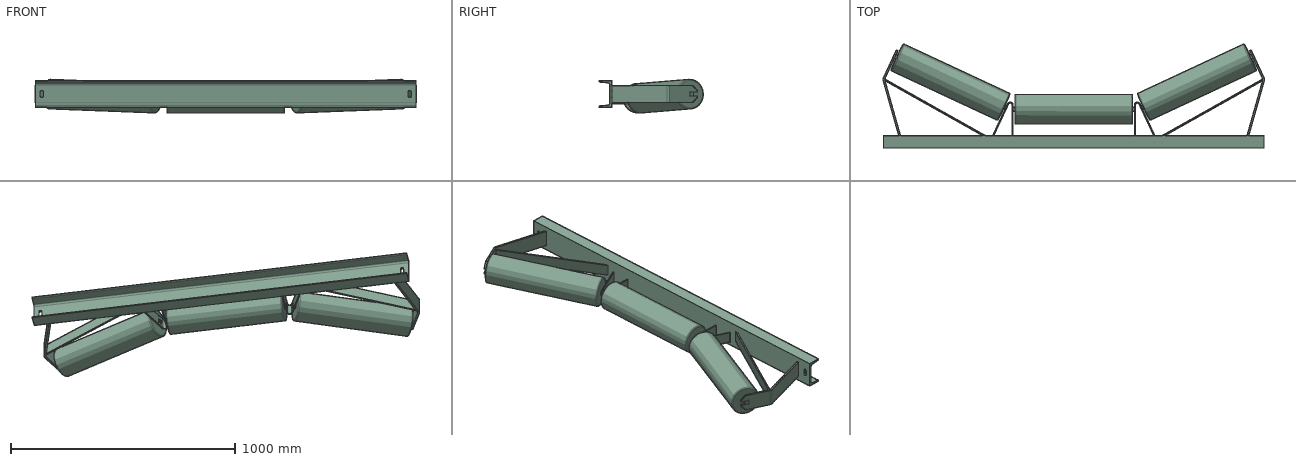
import cadquery as cq
import math

OVERALL_LENGTH = 1702

BEAM_LENGTH = 1699.0
BEAM_HEIGHT = 120.0
BEAM_DEPTH = 56.0
WEB_THICKNESS = 9.4
FLANGE_TIP = 7.0
FLANGE_ROOT = 11.0
ROOT_RADIUS = 9.0
TIP_RADIUS = 4.3
MOUNT_SLOT_LENGTH = 32.0
MOUNT_SLOT_WIDTH = 14.0
MOUNT_SLOT_INSET = 29.0

ROLLER_RADIUS = 66.0
ROLLER_LENGTH = 526.0
RIM_RADIUS = 5.0
ROLLER_Y = 117.0
ROLLER_Z = -19.0
TROUGH_ANGLE = 25
TILT_ANGLE = 2
WING_INNER_X = -311.0
WING_INNER_Y = 128.0
SHAFT_WIDTH = 17.0
SHAFT_DEPTH = 19.0

OUTER_HEIGHT = 75.0
OUTER_THICKNESS = 9.0
OUTER_BEND_RADIUS = 17.0
OUTER_BEND_Y = 250.0
OUTER_LEG_ANGLE = 15.8
OUTER_ARM_LENGTH = 138.0
TIP_CHAMFER = 22.0
INNER_HEIGHT = 51.0
INNER_THICKNESS = 5.0
INNER_BEND_RADIUS = 14.0
INNER_GAP = 7.0
INNER_TOP_Y = 150.0

BRACE_THICKNESS = 7.0
BRACE_HEIGHT = 51.0
BRACE_FOOT_X = -400.0

RUNOUT = 340


def polar(centre, radius, degrees):
    """Point at a distance and direction from `centre`."""
    angle = math.radians(degrees)
    return (centre[0] + radius * math.cos(angle), centre[1] + radius * math.sin(angle))


def distance_along(start, end, degrees):
    """Distance from `start` to `end`, measured in the given direction."""
    angle = math.radians(degrees)
    return (end[0] - start[0]) * math.cos(angle) + (end[1] - start[1]) * math.sin(angle)


WING_DIRECTION = 180 - TROUGH_ANGLE
OUTER_LEG_NORMAL = 180 + OUTER_LEG_ANGLE
INNER_FACE_X = -ROLLER_LENGTH / 2 - INNER_GAP
OUTER_BEND = (-OVERALL_LENGTH / 2 + OUTER_BEND_RADIUS, OUTER_BEND_Y)
INNER_BEND = (INNER_FACE_X - INNER_BEND_RADIUS, INNER_TOP_Y - INNER_BEND_RADIUS)

wing_inner = (WING_INNER_X, WING_INNER_Y)
tilt = math.radians(TILT_ANGLE)
middle_shaft = INNER_GAP + INNER_THICKNESS
inner_reach = distance_along(INNER_BEND, wing_inner, WING_DIRECTION)
wing_inner_shaft = (inner_reach - INNER_BEND_RADIUS + INNER_THICKNESS) / math.cos(tilt)
outer_reach = distance_along(wing_inner, OUTER_BEND, WING_DIRECTION) + OUTER_BEND_RADIUS
wing_outer_shaft = outer_reach / math.cos(tilt) - ROLLER_LENGTH

middle_plane = cq.Plane(
    origin=(-ROLLER_LENGTH / 2, ROLLER_Y, ROLLER_Z), xDir=(0, 1, 0), normal=(1, 0, 0)
)
wing_x, wing_y = polar((0, 0), math.cos(tilt), WING_DIRECTION)
across_x, across_y = polar((0, 0), 1, WING_DIRECTION - 90)
wing_plane = cq.Plane(
    origin=(WING_INNER_X, WING_INNER_Y, ROLLER_Z),
    xDir=(across_x, across_y, 0),
    normal=(wing_x, wing_y, math.sin(tilt)),
)


def trim_at_beam(body):
    """Cut away everything in front of the back face of the beam."""
    front = cq.Workplane("XZ").rect(2 * OVERALL_LENGTH, OVERALL_LENGTH).extrude(2 * RUNOUT)
    return body.cut(front)


def make_beam():
    half = BEAM_HEIGHT / 2
    root = half - FLANGE_ROOT
    tip = half - FLANGE_TIP
    profile = [
        (0, -half),
        (-BEAM_DEPTH, -half),
        (-BEAM_DEPTH, -tip),
        (-WEB_THICKNESS, -root),
        (-WEB_THICKNESS, root),
        (-BEAM_DEPTH, tip),
        (-BEAM_DEPTH, half),
        (0, half),
    ]
    beam = cq.Workplane("YZ").polyline(profile).close().extrude(BEAM_LENGTH / 2, both=True)
    for y, z, radius in ((-WEB_THICKNESS, root, ROOT_RADIUS), (-BEAM_DEPTH, tip, TIP_RADIUS)):
        for side in (-1, 1):
            corner = cq.selectors.NearestToPointSelector((0, y, side * z))
            beam = beam.edges("|X").edges(corner).fillet(radius)
    slot_x = BEAM_LENGTH / 2 - MOUNT_SLOT_INSET
    slots = (
        cq.Workplane("XZ")
        .pushPoints([(-slot_x, 0), (slot_x, 0)])
        .slot2D(MOUNT_SLOT_LENGTH, MOUNT_SLOT_WIDTH, 90)
        .extrude(WEB_THICKNESS)
    )
    return beam.cut(slots)


def make_roller(plane, start_shaft, end_shaft):
    """Roller with rounded rims, and flatted shaft ends of the given lengths beyond both faces."""
    drum = cq.Workplane(plane).circle(ROLLER_RADIUS).extrude(ROLLER_LENGTH)
    drum = drum.faces("<X or >X").edges().fillet(RIM_RADIUS)
    shaft = (
        cq.Workplane(plane)
        .workplane(offset=-start_shaft)
        .rect(SHAFT_DEPTH, SHAFT_WIDTH)
        .extrude(start_shaft + ROLLER_LENGTH + end_shaft)
    )
    return drum.union(shaft)


def make_bent_bar(centre, radius, thickness, height, normals, legs):
    """Flat bar on edge, bent round `centre`.

    `radius` is the outer bend radius, `normals` the directions in which the two
    straight legs face outward, and `legs` their lengths.
    """
    inner = radius - thickness
    start, end = normals
    start_leg, end_leg = legs
    middle = (start + end) / 2
    start_outer = polar(centre, radius, start)
    start_inner = polar(centre, inner, start)
    end_outer = polar(centre, radius, end)
    end_inner = polar(centre, inner, end)
    return (
        cq.Workplane("XY")
        .moveTo(*polar(start_outer, start_leg, start - 90))
        .lineTo(*start_outer)
        .threePointArc(polar(centre, radius, middle), end_outer)
        .lineTo(*polar(end_outer, end_leg, end + 90))
        .lineTo(*polar(end_inner, end_leg, end + 90))
        .lineTo(*end_inner)
        .threePointArc(polar(centre, inner, middle), start_inner)
        .lineTo(*polar(start_inner, start_leg, start - 90))
        .close()
        .extrude(height / 2, both=True)
    )


def make_outer_bracket():
    """Outer bracket with a chamfered tip and an open notch for the shaft end."""
    bar = make_bent_bar(
        OUTER_BEND, OUTER_BEND_RADIUS, OUTER_THICKNESS, OUTER_HEIGHT,
        (WING_DIRECTION, OUTER_LEG_NORMAL), (OUTER_ARM_LENGTH, RUNOUT),
    )
    tip_end = cq.selectors.DirectionMinMaxSelector(cq.Vector(across_x, across_y, 0))
    bar = bar.faces(tip_end).edges("<Z or >Z").chamfer(TIP_CHAMFER)
    notch = (
        cq.Workplane(wing_plane)
        .workplane(offset=ROLLER_LENGTH)
        .center((RUNOUT - SHAFT_DEPTH) / 2, 0)
        .rect(RUNOUT, SHAFT_WIDTH)
        .extrude(2 * wing_outer_shaft)
    )
    return trim_at_beam(bar).cut(notch)


def make_inner_bracket():
    """Inner bracket, centred on the middle roller axis; it holds two shaft ends."""
    bar = make_bent_bar(
        INNER_BEND, INNER_BEND_RADIUS, INNER_THICKNESS, INNER_HEIGHT,
        (0, WING_DIRECTION), (RUNOUT, RUNOUT),
    )
    return trim_at_beam(bar.translate((0, 0, ROLLER_Z)))


def make_brace():
    """Straight bar from the back of the beam into the bend of the outer bracket."""
    bend_middle = (WING_DIRECTION + OUTER_LEG_NORMAL) / 2
    end_x, end_y = polar(OUTER_BEND, OUTER_BEND_RADIUS - OUTER_THICKNESS / 2, bend_middle)
    run = end_x - BRACE_FOOT_X
    length = math.hypot(run, end_y)
    overlap = 2 * BRACE_THICKNESS
    brace = (
        cq.Workplane("XY")
        .center((length - overlap) / 2, 0)
        .rect(length + overlap, BRACE_THICKNESS)
        .extrude(BRACE_HEIGHT / 2, both=True)
        .rotate((0, 0, 0), (0, 0, 1), math.degrees(math.atan2(end_y, run)))
        .translate((BRACE_FOOT_X, 0, 0))
    )
    return trim_at_beam(brace)


beam = make_beam()
middle_roller = make_roller(middle_plane, middle_shaft, middle_shaft)
wing_roller = make_roller(wing_plane, wing_inner_shaft, wing_outer_shaft)
outer_bracket = make_outer_bracket()
inner_bracket = make_inner_bracket().cut(middle_roller).cut(wing_roller)
brace = make_brace().cut(outer_bracket)

bodies = [beam.val(), middle_roller.val()]
for left_body in (wing_roller, outer_bracket, inner_bracket, brace):
    right_body = left_body.mirror("YZ")
    bodies.extend([*left_body.solids().vals(), *right_body.solids().vals()])

result = cq.Compound.makeCompound(bodies)